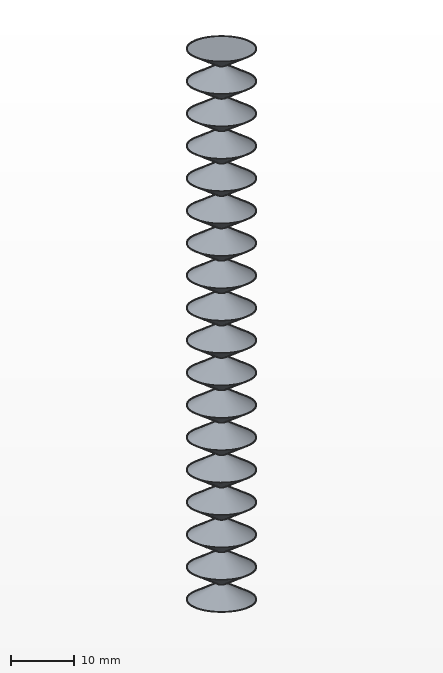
import math
import cadquery as cq

OVERALL_LENGTH = 93.49
RIM_RADIUS = 5.5

GROOVE_COUNT = 17
GROOVE_ANGLE = 60.0

GROOVE_WIDTH = OVERALL_LENGTH / GROOVE_COUNT
GROOVE_DEPTH = GROOVE_WIDTH / 2 / math.tan(math.radians(GROOVE_ANGLE / 2))
WAIST_RADIUS = RIM_RADIUS - GROOVE_DEPTH


def grooved_rod():
    """Rod along Z whose V grooves meet edge to edge, leaving stacked double cones."""
    outline = cq.Workplane("XZ").lineTo(RIM_RADIUS, 0)
    for groove in range(GROOVE_COUNT):
        groove_start = groove * GROOVE_WIDTH
        outline = outline.lineTo(WAIST_RADIUS, groove_start + GROOVE_WIDTH / 2)
        outline = outline.lineTo(RIM_RADIUS, groove_start + GROOVE_WIDTH)
    profile = outline.lineTo(0, OVERALL_LENGTH).close()
    return profile.revolve(360, (0, 0, 0), (0, 1, 0))


result = grooved_rod()